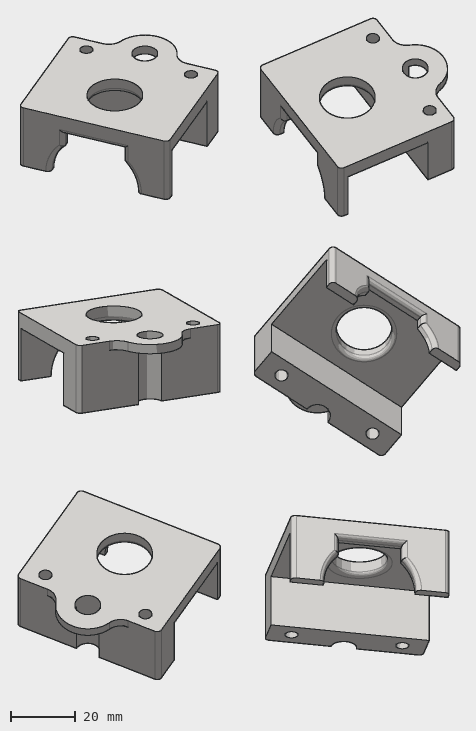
import cadquery as cq
import math

WIDTH = 50.0
TOTAL_DEPTH = 51.45
HEIGHT = 22.0
CORNER_RADIUS = 1.5
ROOF_THICKNESS = 5.0
BACK_BLOCK_DEPTH = 10.0
FRONT_WALL_THICKNESS = 3.0

LUG_RADIUS = 10.0
LUG_THICKNESS = 3.0
LUG_BLEND_RADIUS = 5.0
LUG_HOLE_DIAMETER = 8.0

SMALL_HOLE_DIAMETER = 4.0
SMALL_HOLE_SPACING = 35.0
SMALL_HOLE_INSET = 5.0
BIG_HOLE_DIAMETER = 17.25
BIG_HOLE_INSET = 24.3
BIG_HOLE_EDGE_RADIUS = 1.5

WINDOW_WIDTH = 20.0
WINDOW_HEIGHT = 15.5
WINDOW_ARCH_RADIUS = 14.5
WINDOW_EDGE_RADIUS = 1.5

body_depth = TOTAL_DEPTH - LUG_RADIUS
front_y = -body_depth


def make_body():
    block = (
        cq.Workplane("XY")
        .box(WIDTH, body_depth, HEIGHT, centered=(True, False, False))
        .translate((0, front_y, 0))
        .edges("|Z")
        .fillet(CORNER_RADIUS)
    )
    cavity_depth = body_depth - BACK_BLOCK_DEPTH - FRONT_WALL_THICKNESS
    cavity = (
        cq.Workplane("XY")
        .box(WIDTH, cavity_depth, HEIGHT - ROOF_THICKNESS, centered=(True, False, False))
        .translate((0, front_y + FRONT_WALL_THICKNESS, 0))
    )
    return block.cut(cavity)


def make_lug():
    center_distance = LUG_RADIUS + LUG_BLEND_RADIUS
    blend_x = math.sqrt(center_distance**2 - LUG_BLEND_RADIUS**2)
    touch_x = blend_x * LUG_RADIUS / center_distance
    touch_y = LUG_BLEND_RADIUS * LUG_RADIUS / center_distance
    return (
        cq.Workplane("XY", origin=(0, 0, HEIGHT - LUG_THICKNESS))
        .moveTo(-blend_x, 0)
        .radiusArc((-touch_x, touch_y), -LUG_BLEND_RADIUS)
        .threePointArc((0, LUG_RADIUS), (touch_x, touch_y))
        .radiusArc((blend_x, 0), -LUG_BLEND_RADIUS)
        .lineTo(blend_x, -LUG_RADIUS / 2)
        .lineTo(-blend_x, -LUG_RADIUS / 2)
        .close()
        .extrude(LUG_THICKNESS)
    )


def cut_window(part):
    rectangle = (
        cq.Workplane("XY")
        .box(WINDOW_WIDTH, FRONT_WALL_THICKNESS, WINDOW_HEIGHT, centered=(True, False, False))
        .translate((0, front_y, 0))
    )
    arch = (
        cq.Workplane("XZ", origin=(0, front_y, 0))
        .circle(WINDOW_ARCH_RADIUS)
        .extrude(-FRONT_WALL_THICKNESS)
    )
    shoulder_height = math.sqrt(WINDOW_ARCH_RADIUS**2 - (WINDOW_WIDTH / 2) ** 2)
    below_shoulder = (
        cq.Workplane("XY")
        .box(WIDTH, FRONT_WALL_THICKNESS, shoulder_height, centered=(True, False, False))
        .translate((0, front_y, 0))
    )
    part = part.cut(rectangle.union(arch.intersect(below_shoulder)))

    margin = 0.5
    window_front = cq.selectors.BoxSelector(
        (-WINDOW_ARCH_RADIUS - margin, front_y - margin, margin),
        (WINDOW_ARCH_RADIUS + margin, front_y + margin, WINDOW_HEIGHT + margin),
    )
    return part.edges(window_front).fillet(WINDOW_EDGE_RADIUS)


def cut_holes(part):
    top = cq.Workplane("XY", origin=(0, 0, HEIGHT))
    lug_hole = top.circle(LUG_HOLE_DIAMETER / 2).extrude(-HEIGHT)
    small_holes = (
        top.pushPoints([(side * SMALL_HOLE_SPACING / 2, -SMALL_HOLE_INSET) for side in (-1, 1)])
        .circle(SMALL_HOLE_DIAMETER / 2)
        .extrude(-HEIGHT)
    )
    big_hole = top.center(0, -BIG_HOLE_INSET).circle(BIG_HOLE_DIAMETER / 2).extrude(-ROOF_THICKNESS)
    part = part.cut(lug_hole).cut(small_holes).cut(big_hole)

    roof_underside = HEIGHT - ROOF_THICKNESS
    half_box = BIG_HOLE_DIAMETER / 2 + BIG_HOLE_EDGE_RADIUS
    rim = cq.selectors.BoxSelector(
        (-half_box, -BIG_HOLE_INSET - half_box, roof_underside - BIG_HOLE_EDGE_RADIUS),
        (half_box, -BIG_HOLE_INSET + half_box, roof_underside + BIG_HOLE_EDGE_RADIUS),
    )
    return part.edges("%CIRCLE").edges(rim).fillet(BIG_HOLE_EDGE_RADIUS)


result = cut_holes(cut_window(make_body().union(make_lug())))